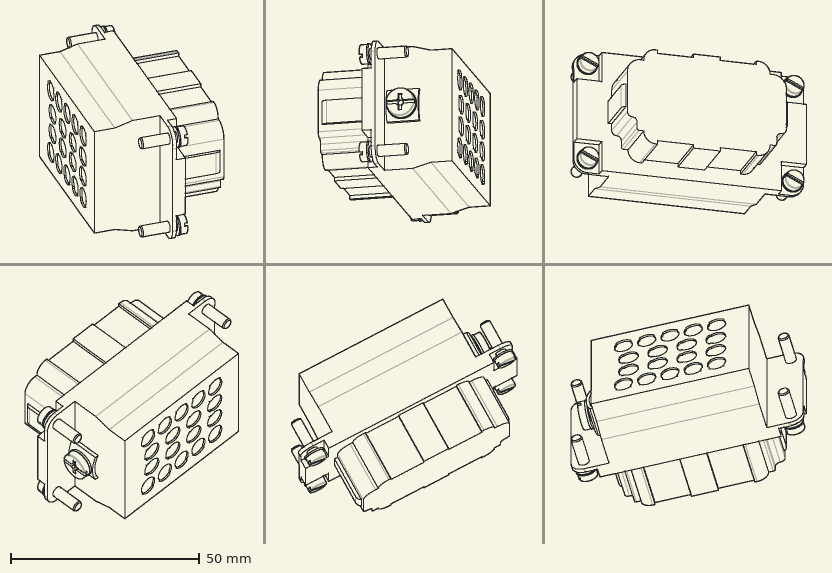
import cadquery as cq
import math


FLANGE_WIDTH = 63.8
FLANGE_SHIFT = -0.1
HEIGHT = 33.8
FLANGE_THICKNESS = 3.65
CORNER_RADIUS = 3.7
EAR_POCKET_WIDTH = 7.0
EAR_POCKET_HEIGHT = 8.3
EAR_POCKET_DEPTH = 2.55
EAR_OVERHANG = 0.2

HOUSING_WIDTH = 43.4
HOUSING_SHIFT = 0.1
HOUSING_FRONT = -22.15
TAPER_START = -11.4
TAPER_END = -16.4
TAPER_INSET = 1.35

CONTACT_DIAMETER = 5.0
CONTACT_KEY_DIAMETER = 5.75
CONTACT_KEY_WIDTH = 4.0
CONTACT_DEPTH = 0.5
OUTER_ROW_Z = 9.2
OUTER_ROW_COUNT = 5
OUTER_ROW_PITCH = 6.4
INNER_ROW_Z = 3.0
INNER_ROW_COUNT = 4
INNER_ROW_PITCH = 8.0

PLUG_LENGTH = 14.35
PLUG_HALF_WIDTH = 22.1
PLUG_HALF_HEIGHT = 13.45
SHOULDER_Z = 10.1
SHOULDER_RADIUS = 3.7
LOBE_OUTER_X = 17.55
LOBE_CREST_X = 14.35
LOBE_INNER_X = 13.7
RIB_HALF_WIDTH = 3.7
PANEL_DROP = 0.95
KEY_TOP_Z = 5.1
KEY_STEP = 2.7
KEY_EDGE_RADIUS = 0.6

GUIDE_HEIGHT = 6.4
GUIDE_PROJECTION = 0.95
GUIDE_END_GAP = 0.95
GUIDE_END_RADIUS = 1.6

SCREW_X = 28.5
SCREW_Z = 13.5
SCREW_DIAMETER = 3.0
SCREW_TIP_Y = -11.6
SCREW_TIP_LENGTH = 0.4
SCREW_TIP_INSET = 0.2
SCREW_HEAD_DIAMETER = 5.25
SCREW_RIM_DIAMETER = 5.6
SCREW_RIM_THICKNESS = 0.45
SCREW_HEAD_TOP_Y = 1.0
SCREW_HEAD_HEIGHT = 2.55
SCREW_HEAD_ROUNDING = 0.2
SCREW_SLOT_WIDTH = 0.8
SCREW_SLOT_DEPTH = 0.9
SCREW_SLOT_ANGLE = 25.0

EARTH_Y = -9.35
EARTH_HEAD_X = -27.7
EARTH_HEAD_HEIGHT = 2.55
EARTH_RIM_DIAMETER = 8.0
EARTH_RIM_THICKNESS = 0.6
EARTH_HEAD_DIAMETER = 7.7
EARTH_SHANK_DIAMETER = 4.0
EARTH_SLOT_WIDTH = 0.95
EARTH_SLOT_DEPTH = 0.9
EARTH_CROSS_LENGTH = 4.5
EARTH_DIAMOND_SIDE = 2.05
EARTH_CENTRE_DIAMETER = 1.4
EARTH_CENTRE_DEPTH = 1.3
CLAMP_SIZE = 8.8
CLAMP_OUTER_RADIUS = 9.3
CLAMP_THICKNESS = 0.9
CLAMP_OVERLAP = 0.05


def box(x_range, y_range, z_range):
    """Box between two limits on each axis."""
    (x0, x1), (y0, y1), (z0, z1) = x_range, y_range, z_range
    return cq.Workplane("XY").box(x1 - x0, y1 - y0, z1 - z0, centered=False).translate((x0, y0, z0))


def cylinder_y(x, z, y_start, y_end, diameter):
    """Cylinder along Y between two places."""
    axis = cq.Vector(0, 1, 0)
    return cq.Workplane(cq.Solid.makeCylinder(diameter / 2, y_end - y_start, cq.Vector(x, y_start, z), axis))


def cylinder_x(x_start, x_end, diameter):
    """Cylinder along X on the earth screw's axis."""
    start = cq.Vector(x_start, EARTH_Y, 0)
    return cq.Workplane(cq.Solid.makeCylinder(diameter / 2, x_end - x_start, start, cq.Vector(1, 0, 0)))


def make_flange():
    """Rounded plate with its four corners recessed into thin ears."""
    flange = (
        cq.Workplane("XZ")
        .rect(FLANGE_WIDTH, HEIGHT)
        .extrude(FLANGE_THICKNESS)
        .edges("|Y")
        .fillet(CORNER_RADIUS)
    )
    pocket_centres = [(sx * FLANGE_WIDTH / 2, sz * HEIGHT / 2) for sx in (-1, 1) for sz in (-1, 1)]
    pockets = (
        cq.Workplane("XZ")
        .pushPoints(pocket_centres)
        .rect(2 * EAR_POCKET_WIDTH, 2 * EAR_POCKET_HEIGHT)
        .extrude(EAR_POCKET_DEPTH)
    )
    wide_ear = cylinder_y(
        FLANGE_WIDTH / 2 + EAR_OVERHANG - CORNER_RADIUS,
        HEIGHT / 2 - CORNER_RADIUS,
        -FLANGE_THICKNESS,
        -EAR_POCKET_DEPTH,
        2 * CORNER_RADIUS,
    )
    return flange.cut(pockets).union(wide_ear).translate((FLANGE_SHIFT, 0, 0))


def make_housing():
    """Block behind the contacts, tapering above and below toward its front."""
    half = HEIGHT / 2
    front_half = half - TAPER_INSET
    return (
        cq.Workplane("YZ")
        .moveTo(0, half)
        .lineTo(TAPER_START, half)
        .lineTo(TAPER_END, front_half)
        .lineTo(HOUSING_FRONT, front_half)
        .lineTo(HOUSING_FRONT, -front_half)
        .lineTo(TAPER_END, -front_half)
        .lineTo(TAPER_START, -half)
        .lineTo(0, -half)
        .close()
        .extrude(HOUSING_WIDTH / 2, both=True)
        .translate((HOUSING_SHIFT, 0, 0))
    )


def make_contact(x, z, key_angle):
    """Cutter for one recess; its key points at key_angle, counted from +X toward +Z."""
    floor = HOUSING_FRONT + CONTACT_DEPTH
    y_range = (HOUSING_FRONT, floor)
    key_side = box((0, CONTACT_KEY_DIAMETER), y_range, (-CONTACT_KEY_WIDTH / 2, CONTACT_KEY_WIDTH / 2))
    key = cylinder_y(0, 0, *y_range, CONTACT_KEY_DIAMETER).intersect(key_side)
    recess = cylinder_y(0, 0, *y_range, CONTACT_DIAMETER).union(key)
    return recess.rotate((0, 0, 0), (0, -1, 0), key_angle).translate((x, 0, z))


def cut_contacts(body):
    """Cut two outer and two inner rows, all ending at the same +X column."""
    last_x = HOUSING_SHIFT + OUTER_ROW_PITCH * (OUTER_ROW_COUNT - 1) / 2
    for side in (-1, 1):
        for i in range(OUTER_ROW_COUNT):
            body = body.cut(make_contact(last_x - i * OUTER_ROW_PITCH, side * OUTER_ROW_Z, side * 90))
        for i in range(INNER_ROW_COUNT):
            body = body.cut(make_contact(last_x - i * INNER_ROW_PITCH, side * INNER_ROW_Z, 180))
    return body


def make_plug_half():
    """The -X half of the plug: rounded shoulder above, stepped key corner below."""
    diagonal = math.sqrt(0.5)
    lobe_width = LOBE_OUTER_X - LOBE_CREST_X
    lobe_height = PLUG_HALF_HEIGHT - SHOULDER_Z
    lobe_mid_x = -LOBE_CREST_X - lobe_width * diagonal
    lobe_mid_z = SHOULDER_Z + lobe_height * diagonal
    shoulder_x = -PLUG_HALF_WIDTH + SHOULDER_RADIUS
    shoulder_mid = (
        shoulder_x - SHOULDER_RADIUS * diagonal,
        SHOULDER_Z - SHOULDER_RADIUS * (1 - diagonal),
    )
    panel_z = PLUG_HALF_HEIGHT - PANEL_DROP
    key_x = -PLUG_HALF_WIDTH + KEY_STEP
    key_bend = KEY_STEP / 2
    return (
        cq.Workplane("XZ")
        .moveTo(0, PLUG_HALF_HEIGHT)
        .lineTo(-RIB_HALF_WIDTH, PLUG_HALF_HEIGHT)
        .lineTo(-RIB_HALF_WIDTH, panel_z)
        .lineTo(-LOBE_INNER_X, panel_z)
        .lineTo(-LOBE_INNER_X, PLUG_HALF_HEIGHT)
        .lineTo(-LOBE_CREST_X, PLUG_HALF_HEIGHT)
        .threePointArc((lobe_mid_x, lobe_mid_z), (-LOBE_OUTER_X, SHOULDER_Z))
        .lineTo(shoulder_x, SHOULDER_Z)
        .threePointArc(shoulder_mid, (-PLUG_HALF_WIDTH, SHOULDER_Z - SHOULDER_RADIUS))
        .lineTo(-PLUG_HALF_WIDTH, -KEY_TOP_Z)
        .radiusArc((key_x - key_bend, -KEY_TOP_Z - key_bend), -key_bend)
        .radiusArc((key_x, -KEY_TOP_Z - KEY_STEP), key_bend)
        .lineTo(key_x, -SHOULDER_Z + KEY_EDGE_RADIUS)
        .radiusArc((key_x + KEY_EDGE_RADIUS, -SHOULDER_Z), -KEY_EDGE_RADIUS)
        .lineTo(-LOBE_OUTER_X, -SHOULDER_Z)
        .threePointArc((lobe_mid_x, -lobe_mid_z), (-LOBE_CREST_X, -PLUG_HALF_HEIGHT))
        .lineTo(-LOBE_INNER_X, -PLUG_HALF_HEIGHT)
        .lineTo(-LOBE_INNER_X, -panel_z)
        .lineTo(-RIB_HALF_WIDTH, -panel_z)
        .lineTo(-RIB_HALF_WIDTH, -PLUG_HALF_HEIGHT)
        .lineTo(0, -PLUG_HALF_HEIGHT)
        .close()
        .extrude(-PLUG_LENGTH)
    )


def make_plug():
    """Both plug halves and a guide rib, rounded at its end, on each side."""
    guide_reach = PLUG_HALF_WIDTH + GUIDE_PROJECTION
    guides = (
        box(
            (-guide_reach, guide_reach),
            (0, PLUG_LENGTH - GUIDE_END_GAP),
            (-GUIDE_HEIGHT / 2, GUIDE_HEIGHT / 2),
        )
        .edges("|Z and >Y")
        .fillet(GUIDE_END_RADIUS)
    )
    half = make_plug_half()
    return half.union(half.mirror("YZ")).union(guides)


def make_flange_screw(x, z):
    """Slotted screw through an ear, with a rim under its head."""
    head_bottom = SCREW_HEAD_TOP_Y - SCREW_HEAD_HEIGHT
    shank = (
        cylinder_y(x, z, SCREW_TIP_Y, head_bottom, SCREW_DIAMETER)
        .faces("<Y")
        .chamfer(SCREW_TIP_LENGTH, SCREW_TIP_INSET)
    )
    rim = cylinder_y(x, z, head_bottom, head_bottom + SCREW_RIM_THICKNESS, SCREW_RIM_DIAMETER)
    head = cylinder_y(x, z, head_bottom, SCREW_HEAD_TOP_Y, SCREW_HEAD_DIAMETER)
    head = head.faces(">Y").edges().fillet(SCREW_HEAD_ROUNDING)
    slot = (
        cq.Workplane("XZ", origin=(x, SCREW_HEAD_TOP_Y, z))
        .transformed(rotate=(0, 0, SCREW_SLOT_ANGLE))
        .rect(SCREW_RIM_DIAMETER, SCREW_SLOT_WIDTH)
        .extrude(SCREW_SLOT_DEPTH)
    )
    return shank.union(rim).union(head.cut(slot))


def make_earth_screw():
    """Cross-slotted screw entering the housing's -X side."""
    rim_end = EARTH_HEAD_X + EARTH_HEAD_HEIGHT
    head = cylinder_x(EARTH_HEAD_X, rim_end, EARTH_HEAD_DIAMETER)
    head = head.faces("<X").edges().fillet(SCREW_HEAD_ROUNDING)
    rim = cylinder_x(rim_end - EARTH_RIM_THICKNESS, rim_end, EARTH_RIM_DIAMETER)
    slot = (
        cq.Workplane("YZ", origin=(EARTH_HEAD_X, EARTH_Y, 0))
        .rect(EARTH_RIM_DIAMETER, EARTH_SLOT_WIDTH)
        .extrude(EARTH_SLOT_DEPTH)
    )
    cross = (
        cq.Workplane("YZ", origin=(EARTH_HEAD_X, EARTH_Y, 0))
        .rect(EARTH_SLOT_WIDTH, EARTH_CROSS_LENGTH)
        .extrude(EARTH_SLOT_DEPTH)
    )
    diamond = (
        cq.Workplane("YZ", origin=(EARTH_HEAD_X, EARTH_Y, 0))
        .transformed(rotate=(0, 0, 45))
        .rect(EARTH_DIAMOND_SIDE, EARTH_DIAMOND_SIDE)
        .extrude(EARTH_SLOT_DEPTH)
    )
    centre = cylinder_x(EARTH_HEAD_X, EARTH_HEAD_X + EARTH_CENTRE_DEPTH, EARTH_CENTRE_DIAMETER)
    shank = cylinder_x(rim_end, HOUSING_SHIFT - HOUSING_WIDTH / 2, EARTH_SHANK_DIAMETER)
    return head.union(rim).cut(slot).cut(cross).cut(diamond).cut(centre).union(shank)


def make_clamp():
    """Square plate bent about Y, its crest pressed into the earth screw's head."""
    crest_x = EARTH_HEAD_X + EARTH_HEAD_HEIGHT - CLAMP_OVERLAP
    bend_x = crest_x + CLAMP_OUTER_RADIUS
    half = CLAMP_SIZE / 2
    y_range = (EARTH_Y - half, EARTH_Y + half)
    shell = cylinder_y(bend_x, 0, *y_range, 2 * CLAMP_OUTER_RADIUS).cut(
        cylinder_y(bend_x, 0, *y_range, 2 * (CLAMP_OUTER_RADIUS - CLAMP_THICKNESS))
    )
    return shell.intersect(box((crest_x, bend_x), y_range, (-half, half)))


result = cut_contacts(make_flange().union(make_housing())).union(make_plug())
for side_x in (-1, 1):
    for side_z in (-1, 1):
        result = result.union(make_flange_screw(side_x * SCREW_X, side_z * SCREW_Z))
result = result.union(make_earth_screw()).union(make_clamp())